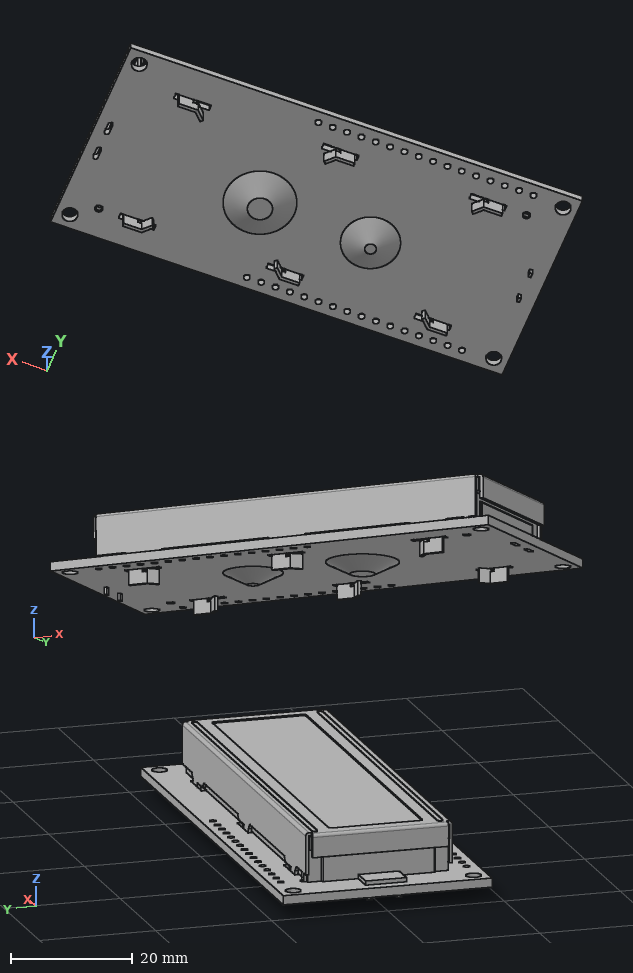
import cadquery as cq
import math

BOARD_LENGTH = 80.0
BOARD_WIDTH = 36.0
BOARD_THICKNESS = 1.6
MOUNT_HOLE_INSET = 2.5
MOUNT_HOLE_DIAMETER = 2.6

PIN_HOLE_COUNT = 16
PIN_HOLE_DIAMETER = 1.0
PIN_ROW_START_X = -32.1
PIN_ROW_LENGTH = 38.1
PIN_ROW_Y = 16.0

MODULE_X = 0.6
MODULE_Y = -0.3

SHEET = 0.6
BEND_RADIUS = SHEET
BEZEL_TOP_Z = 10.2
BEZEL_LENGTH = 71.2
BEZEL_WIDTH = 25.3
SIDE_WALL_LENGTH = 69.3
SIDE_WALL_BOTTOM_Z = 3.0
END_WALL_WIDTH = 23.4
END_WALL_BOTTOM_Z = 6.2
BEZEL_INNER_LENGTH = BEZEL_LENGTH - 2 * SHEET
BEZEL_INNER_WIDTH = BEZEL_WIDTH - 2 * SHEET
WALL_CENTRE_Y = (BEZEL_WIDTH - SHEET) / 2

WINDOW_DEPTH = 0.2
WINDOW_LENGTH = 66.1
WINDOW_WIDTH = 16.2
WINDOW_CORNER_RADIUS = 0.6
GROOVE_LENGTH = 68.2
GROOVE_WIDTH = 1.0
GROOVE_DEPTH = 0.1
GROOVE_Y = 10.8

TAB_PITCH = 26.2
TAB_BOTTOM_Z = -2.5
TAB_HALF_WIDTH = 2.5
TAB_SHOULDER_Z = 2.1
TAB_SHOULDER_WIDTH = 2.9
TAB_FLARE = 0.7
TAB_RELIEF_Z = -0.5
TWIST_PIVOT_X = 0.9
TWIST_LENGTH = 2.2
TWIST_ANGLE = 45.0
TAB_SLOT_LENGTH = 6.2
TAB_SLOT_WIDTH = 1.0

LEG_X = 33.0
LEG_WIDTH = 1.0
LEG_HOLE_DIAMETER = 1.3

GLASS_BOTTOM_Z = 7.4
BACKLIGHT_LENGTH = 68.2
PAD_LENGTH = 69.0
PAD_WIDTH = 19.6
PAD_TOP_Z = 6.1
PAD_CHAMFER = 0.2

TERMINAL_END_X = -38.0
TERMINAL_WIDTH = 7.0
TERMINAL_THICKNESS = 0.7
TERMINAL_PIN_X = -37.0
TERMINAL_PIN_SPACING = 5.1
TERMINAL_PIN_THICKNESS = 0.5
TERMINAL_PIN_WIDTH = 0.8
TERMINAL_PIN_BOTTOM_Z = -1.2
END_SLOT_X = 37.7
END_SLOT_LENGTH = 2.4
END_SLOT_WIDTH = 0.8

DOMES = [(-10.5, -2.3, 5.0), (9.3, -1.8, 6.1)]
DOME_HEIGHT = 2.0
DOME_TAPER = 4.0


def block(length, width, bottom, top, x=0.0, y=0.0):
    """Upright box centred on (x, y) between two heights."""
    return cq.Workplane("XY").box(length, width, top - bottom).translate((x, y, (bottom + top) / 2))


def through_board(outline):
    """Cutter through the board from a closed outline sketched at z = 0."""
    return outline.extrude(BOARD_THICKNESS)


def make_board():
    board = block(BOARD_LENGTH, BOARD_WIDTH, 0, BOARD_THICKNESS)
    sketch = cq.Workplane("XY")

    mount_holes = sketch.rect(
        BOARD_LENGTH - 2 * MOUNT_HOLE_INSET, BOARD_WIDTH - 2 * MOUNT_HOLE_INSET, forConstruction=True
    ).vertices().circle(MOUNT_HOLE_DIAMETER / 2)
    board = board.cut(through_board(mount_holes))

    pitch = PIN_ROW_LENGTH / (PIN_HOLE_COUNT - 1)
    pin_centres = [
        (PIN_ROW_START_X + i * pitch, side * PIN_ROW_Y) for i in range(PIN_HOLE_COUNT) for side in (-1, 1)
    ]
    board = board.cut(through_board(sketch.pushPoints(pin_centres).circle(PIN_HOLE_DIAMETER / 2)))

    end_slot_centres = [(END_SLOT_X, MODULE_Y + side * TERMINAL_PIN_SPACING / 2) for side in (-1, 1)]
    end_slots = sketch.pushPoints(end_slot_centres).slot2D(END_SLOT_LENGTH, END_SLOT_WIDTH, 90)
    board = board.cut(through_board(end_slots))

    tab_slot_centres = [
        (MODULE_X + i * TAB_PITCH, MODULE_Y + side * WALL_CENTRE_Y) for i in (-1, 0, 1) for side in (-1, 1)
    ]
    tab_slots = sketch.pushPoints(tab_slot_centres).rect(TAB_SLOT_LENGTH, TAB_SLOT_WIDTH)
    board = board.cut(through_board(tab_slots))

    leg_centres = [(MODULE_X + side * LEG_X, MODULE_Y - side * WALL_CENTRE_Y) for side in (-1, 1)]
    return board.cut(through_board(sketch.pushPoints(leg_centres).circle(LEG_HOLE_DIAMETER / 2)))


def make_cover():
    """Bezel top with its four bent walls, packed solid with the glass; window and grooves cut in."""
    side_walls = block(SIDE_WALL_LENGTH, BEZEL_WIDTH, SIDE_WALL_BOTTOM_Z, BEZEL_TOP_Z)
    side_walls = side_walls.edges("|X and >Z").fillet(BEND_RADIUS)
    side_walls = side_walls.cut(
        block(SIDE_WALL_LENGTH, BEZEL_INNER_WIDTH, SIDE_WALL_BOTTOM_Z, BEZEL_TOP_Z - SHEET)
    )

    end_walls = block(BEZEL_LENGTH, END_WALL_WIDTH, END_WALL_BOTTOM_Z, BEZEL_TOP_Z)
    end_walls = end_walls.edges("|Y and >Z").fillet(BEND_RADIUS)
    end_walls = end_walls.cut(
        block(BEZEL_INNER_LENGTH, END_WALL_WIDTH, END_WALL_BOTTOM_Z, BEZEL_TOP_Z - SHEET)
    )

    glass = block(BEZEL_INNER_LENGTH, BEZEL_INNER_WIDTH, GLASS_BOTTOM_Z, BEZEL_TOP_Z - SHEET)
    window = block(WINDOW_LENGTH, WINDOW_WIDTH, BEZEL_TOP_Z - WINDOW_DEPTH, BEZEL_TOP_Z)
    window = window.edges("|Z").fillet(WINDOW_CORNER_RADIUS)
    grooves = (
        cq.Workplane("XY", origin=(0, 0, BEZEL_TOP_Z))
        .pushPoints([(0, -GROOVE_Y), (0, GROOVE_Y)])
        .slot2D(GROOVE_LENGTH, GROOVE_WIDTH)
        .extrude(-GROOVE_DEPTH)
    )
    return side_walls.union(end_walls).union(glass).cut(window).cut(grooves)


def make_tab():
    """Fixing tab on the -Y wall, centred on x = 0, with its wing turned inwards at the +X side."""
    outer_y = -BEZEL_WIDTH / 2
    flat = (
        cq.Workplane("XZ", origin=(0, outer_y, 0))
        .polyline([
            (-TAB_HALF_WIDTH - TAB_FLARE, SIDE_WALL_BOTTOM_Z),
            (-TAB_HALF_WIDTH, TAB_SHOULDER_Z),
            (-TAB_HALF_WIDTH, TAB_BOTTOM_Z),
            (TWIST_PIVOT_X, TAB_BOTTOM_Z),
            (TWIST_PIVOT_X, TAB_RELIEF_Z),
            (0, TAB_RELIEF_Z),
            (0, TAB_SHOULDER_Z),
            (TAB_SHOULDER_WIDTH, TAB_SHOULDER_Z),
            (TAB_SHOULDER_WIDTH + TAB_FLARE, SIDE_WALL_BOTTOM_Z),
        ])
        .close()
        .extrude(-SHEET)
    )
    wing = (
        cq.Workplane("XY")
        .box(TWIST_LENGTH, SHEET, -TAB_BOTTOM_Z, centered=False)
        .rotate((0, 0, 0), (0, 0, 1), TWIST_ANGLE)
        .translate((TWIST_PIVOT_X, outer_y, TAB_BOTTOM_Z))
    )
    return flat.union(wing)


def make_tabs():
    """Three tabs per side wall; the one at the +X end is reversed."""
    tab = make_tab()
    tabs = tab.union(tab.translate((-TAB_PITCH, 0, 0)))
    tabs = tabs.union(tab.mirror("YZ").translate((TAB_PITCH, 0, 0)))
    return tabs.union(tabs.mirror("XZ"))


def make_module():
    """Display module centred on the Z axis."""
    backlight = block(BACKLIGHT_LENGTH, BEZEL_INNER_WIDTH, BOARD_THICKNESS, GLASS_BOTTOM_Z)
    pad = block(PAD_LENGTH, PAD_WIDTH, BOARD_THICKNESS, PAD_TOP_Z)
    pad = pad.faces("<X or >X").edges("not <Z").chamfer(PAD_CHAMFER)
    module = make_cover().union(backlight).union(pad).union(make_tabs())
    for side in (-1, 1):
        leg = block(LEG_WIDTH, SHEET, 0, SIDE_WALL_BOTTOM_Z, side * LEG_X, -side * WALL_CENTRE_Y)
        module = module.union(leg)
    return module


def make_terminal():
    length = MODULE_X - TERMINAL_END_X
    terminal = block(
        length, TERMINAL_WIDTH, BOARD_THICKNESS, BOARD_THICKNESS + TERMINAL_THICKNESS,
        TERMINAL_END_X + length / 2, MODULE_Y,
    )
    for side in (-1, 1):
        pin = block(
            TERMINAL_PIN_THICKNESS, TERMINAL_PIN_WIDTH, TERMINAL_PIN_BOTTOM_Z, BOARD_THICKNESS,
            TERMINAL_PIN_X, MODULE_Y + side * TERMINAL_PIN_SPACING / 2,
        )
        terminal = terminal.union(pin)
    return terminal


def make_dome(x, y, radius):
    taper_angle = math.degrees(math.atan2(DOME_TAPER, DOME_HEIGHT))
    return cq.Workplane("XY").center(x, y).circle(radius).extrude(-DOME_HEIGHT, taper=taper_angle)


result = make_board().union(make_module().translate((MODULE_X, MODULE_Y, 0))).union(make_terminal())
for dome_x, dome_y, dome_radius in DOMES:
    result = result.union(make_dome(dome_x, dome_y, dome_radius))